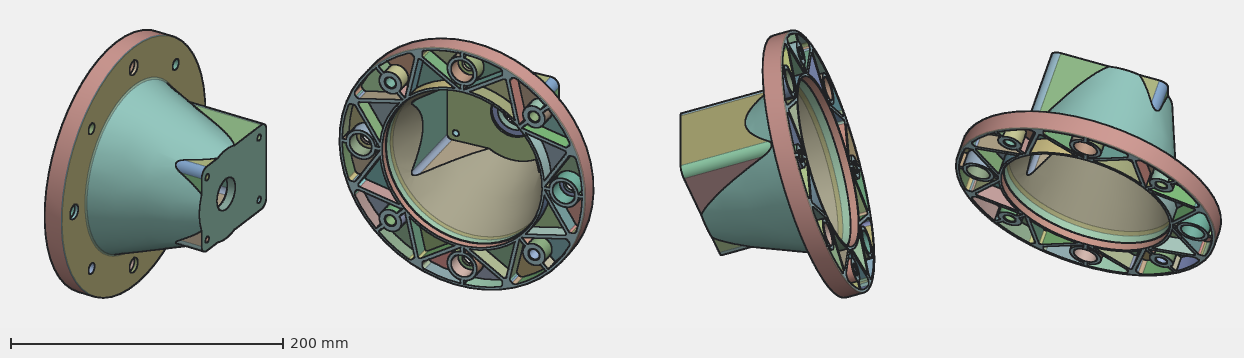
import cadquery as cq
import math

TOTAL_LENGTH = 95.0
FLANGE_DIAMETER = 200.0
FLANGE_THICKNESS = 15.0
FLANGE_EDGE_RADIUS = 0.5

SELECTION_MARGIN = 0.1

CONE_BASE_DIAMETER = 134.0
CONE_END_DIAMETER = 74.2
CONE_ROOT_RADIUS = 1.5
FLOOR_THICKNESS = 9.0
FLOOR_X = TOTAL_LENGTH - FLOOR_THICKNESS

ENTRY_DIAMETER = 130.0
ENTRY_DEPTH = 6.0
SEAT_DIAMETER = 129.0
SEAT_END_X = 14.0
SEAT_BLEND_RADIUS = 10.0
CAVITY_END_DIAMETER = 74.8

BOX_Y_MIN = -33.8
BOX_Y_MAX = 56.0
BOX_HEIGHT = 70.5
BOX_CORNER_RADIUS = 7.0
BOX_CAVITY_Y_MIN = -32.0
BOX_CAVITY_Y_MAX = 53.0
BOX_CAVITY_HEIGHT = 64.5
BOX_CAVITY_CORNER_RADIUS = 4.0

SHAFT_HOLE_DIAMETER = 25.4
SHAFT_RECESS_DIAMETER = 35.0
SHAFT_RECESS_DEPTH = 2.0
SCREW_HOLE_DIAMETER = 5.0
SCREW_SPACING_Y = 72.0
SCREW_SPACING_Z = 52.0
SCREW_CENTER_Y = 9.9

BOLT_CIRCLE_RADIUS = 82.5
LARGE_BOLT_DIAMETER = 11.5
LARGE_BOLT_COUNTERBORE_DIAMETER = 18.0
LARGE_BOLT_COUNTERBORE_DEPTH = 12.0
LARGE_BOSS_DIAMETER = 24.0
LARGE_BOLT_ANGLES = (0, 90, 180, 270)
SMALL_BOLT_DIAMETER = 8.5
SMALL_BOLT_CHAMFER = 0.5
SMALL_BOSS_DIAMETER = 18.0
SMALL_BOLT_ANGLES = (45, 135, 225, 315)

POCKET_DEPTH = 12.0
POCKET_INNER_RADIUS = CONE_BASE_DIAMETER / 2
POCKET_OUTER_RADIUS = 97.5
RIB_THICKNESS = 3.0
BOLT_BAY_RIB_CORNER_RADIUS = 2.0
BOLT_BAY_RIM_CORNER_RADIUS = 2.9
BOLT_BAY_WIDTH = 65.2
PLAIN_BAY_CORNER_RADIUS = 1.5

RIB_INNER_NODE_RADIUS = SEAT_DIAMETER / 2
RIB_OUTER_NODE_RADIUS = 95.0
BAY_HALF_ANGLE = 180 / (len(LARGE_BOLT_ANGLES) + len(SMALL_BOLT_ANGLES))
RIB_ANGLE_AT_BOLT = math.atan2(
    RIB_OUTER_NODE_RADIUS * math.sin(math.radians(BAY_HALF_ANGLE)),
    RIB_OUTER_NODE_RADIUS * math.cos(math.radians(BAY_HALF_ANGLE)) - RIB_INNER_NODE_RADIUS,
)
RIB_ANGLE_AT_RIM = RIB_ANGLE_AT_BOLT - math.radians(BAY_HALF_ANGLE)


def cylinder(diameter, x_start, x_end, y=0.0, z=0.0):
    """Round bar along X."""
    axis_start = cq.Vector(x_start, y, z)
    return cq.Workplane(cq.Solid.makeCylinder(diameter / 2, x_end - x_start, axis_start, cq.Vector(1, 0, 0)))


def cone(start_diameter, end_diameter, x_start, x_end):
    """Truncated cone along X."""
    axis_start = cq.Vector(x_start, 0, 0)
    direction = cq.Vector(1, 0, 0)
    return cq.Workplane(
        cq.Solid.makeCone(start_diameter / 2, end_diameter / 2, x_end - x_start, axis_start, direction)
    )


def polar(radius, angle):
    """Y and Z of a point given by its radius and its angle in degrees."""
    return radius * math.cos(math.radians(angle)), radius * math.sin(math.radians(angle))


def box_prism(y_min, y_max, height, corner_radius, x_end):
    """Rounded rectangular prism from the flange face to x_end, centred on Z = 0."""
    return (
        cq.Workplane("YZ")
        .center((y_min + y_max) / 2, 0)
        .rect(y_max - y_min, height)
        .extrude(x_end)
        .edges("|X")
        .fillet(corner_radius)
    )


def round_edges(x, diameter):
    """Selector for the circular edges in the plane at x that fit within a diameter."""
    reach = diameter / 2 + SELECTION_MARGIN
    return cq.selectors.BoxSelector(
        (x - SELECTION_MARGIN, -reach, -reach), (x + SELECTION_MARGIN, reach, reach), boundingbox=True
    )


def make_outer_body():
    """Flange, cone and mounting box before any hollowing."""
    flange = cylinder(FLANGE_DIAMETER, 0, FLANGE_THICKNESS).edges("%CIRCLE").fillet(FLANGE_EDGE_RADIUS)
    housing = cone(CONE_BASE_DIAMETER, CONE_END_DIAMETER, FLANGE_THICKNESS, TOTAL_LENGTH)
    root = round_edges(FLANGE_THICKNESS, CONE_BASE_DIAMETER)
    body = flange.union(housing)
    body = body.edges(root).fillet(CONE_ROOT_RADIUS)
    return body.union(box_prism(BOX_Y_MIN, BOX_Y_MAX, BOX_HEIGHT, BOX_CORNER_RADIUS, TOTAL_LENGTH))


def make_cavity():
    """Space inside: stepped bore, blended taper and box-shaped room down to the floor."""
    entry = cylinder(ENTRY_DIAMETER, 0, ENTRY_DEPTH)
    seat = cylinder(SEAT_DIAMETER, 0, SEAT_END_X)
    taper = cone(SEAT_DIAMETER, CAVITY_END_DIAMETER, SEAT_END_X, FLOOR_X)
    box = box_prism(
        BOX_CAVITY_Y_MIN, BOX_CAVITY_Y_MAX, BOX_CAVITY_HEIGHT, BOX_CAVITY_CORNER_RADIUS, FLOOR_X
    )
    funnel = seat.union(taper)
    funnel = funnel.edges(round_edges(SEAT_END_X, SEAT_DIAMETER)).fillet(SEAT_BLEND_RADIUS)
    return entry.union(funnel).union(box)


def make_floor_holes():
    """Shaft hole with its recess and the four screw holes."""
    holes = cylinder(SHAFT_HOLE_DIAMETER, FLOOR_X, TOTAL_LENGTH)
    holes = holes.union(cylinder(SHAFT_RECESS_DIAMETER, FLOOR_X, FLOOR_X + SHAFT_RECESS_DEPTH))
    for side_y in (-1, 1):
        for side_z in (-1, 1):
            y = SCREW_CENTER_Y + side_y * SCREW_SPACING_Y / 2
            z = side_z * SCREW_SPACING_Z / 2
            holes = holes.union(cylinder(SCREW_HOLE_DIAMETER, FLOOR_X, TOTAL_LENGTH, y, z))
    return holes


def pocket_ring():
    """Ring-shaped space between the outer rim and the wall around the bore."""
    outside = cylinder(2 * POCKET_OUTER_RADIUS, 0, POCKET_DEPTH)
    return outside.cut(cylinder(2 * POCKET_INNER_RADIUS, 0, POCKET_DEPTH))


def wedge(tip_radius, reach, half_width):
    """Triangular prism with its tip on the Y axis; a negative reach opens it toward the centre."""
    base = tip_radius + reach
    outline = [(tip_radius, 0), (base, half_width), (base, -half_width)]
    return cq.Workplane("YZ").polyline(outline).close().extrude(POCKET_DEPTH)


def make_bolt_bay(boss_diameter):
    """Pocket around a bolt boss on the +Y axis, split by a radial rib."""
    tip_radius = RIB_INNER_NODE_RADIUS + RIB_THICKNESS / 2 / math.sin(RIB_ANGLE_AT_BOLT)
    reach = FLANGE_DIAMETER
    bay = pocket_ring().intersect(wedge(tip_radius, reach, reach * math.tan(RIB_ANGLE_AT_BOLT)))
    side_trim = cq.Workplane("XY").box(FLANGE_DIAMETER, FLANGE_DIAMETER, BOLT_BAY_WIDTH)
    bay = bay.intersect(side_trim)
    bay = bay.edges("|X").edges(">Z or <Z").edges("<Y").fillet(BOLT_BAY_RIB_CORNER_RADIUS)
    bay = bay.edges("|X").edges(">Z or <Z").edges(">Y").fillet(BOLT_BAY_RIM_CORNER_RADIUS)
    radial_rib = cq.Workplane("XY").box(
        POCKET_DEPTH, FLANGE_DIAMETER, RIB_THICKNESS, centered=(False, False, True)
    )
    return bay.cut(radial_rib).cut(cylinder(boss_diameter, 0, POCKET_DEPTH, BOLT_CIRCLE_RADIUS))


def make_plain_bay():
    """Triangular pocket between two neighbouring bolt bays, centred on the +Y axis."""
    tip_radius = RIB_OUTER_NODE_RADIUS - RIB_THICKNESS / 2 / math.sin(RIB_ANGLE_AT_RIM)
    reach = tip_radius
    bay = pocket_ring().intersect(wedge(tip_radius, -reach, reach * math.tan(RIB_ANGLE_AT_RIM)))
    return bay.edges("|X").edges(">Y").fillet(PLAIN_BAY_CORNER_RADIUS)


def make_pockets():
    """All flange pockets, gathered as separate solids."""
    large_bay = make_bolt_bay(LARGE_BOSS_DIAMETER)
    small_bay = make_bolt_bay(SMALL_BOSS_DIAMETER)
    plain_bay = make_plain_bay()
    axis = ((0, 0, 0), (1, 0, 0))
    pockets = cq.Workplane()
    for bolt_bay, angles in ((large_bay, LARGE_BOLT_ANGLES), (small_bay, SMALL_BOLT_ANGLES)):
        for angle in angles:
            pockets = pockets.add(bolt_bay.rotate(*axis, angle))
            pockets = pockets.add(plain_bay.rotate(*axis, angle + BAY_HALF_ANGLE))
    return pockets.combine()


def make_bolt_holes():
    """Counterbored large bolt holes and chamfered small ones on one bolt circle."""
    holes = cq.Workplane()
    for angle in LARGE_BOLT_ANGLES:
        y, z = polar(BOLT_CIRCLE_RADIUS, angle)
        holes = holes.add(cylinder(LARGE_BOLT_DIAMETER, 0, FLANGE_THICKNESS, y, z))
        holes = holes.add(cylinder(LARGE_BOLT_COUNTERBORE_DIAMETER, 0, LARGE_BOLT_COUNTERBORE_DEPTH, y, z))
    for angle in SMALL_BOLT_ANGLES:
        y, z = polar(BOLT_CIRCLE_RADIUS, angle)
        holes = holes.add(cylinder(SMALL_BOLT_DIAMETER, 0, FLANGE_THICKNESS, y, z))
        mouth_diameter = SMALL_BOLT_DIAMETER + 2 * SMALL_BOLT_CHAMFER
        chamfer = cone(mouth_diameter, SMALL_BOLT_DIAMETER, 0, SMALL_BOLT_CHAMFER)
        holes = holes.add(chamfer.translate((0, y, z)))
    return holes.combine()


result = make_outer_body().cut(make_cavity()).cut(make_floor_holes())
result = result.cut(make_pockets()).cut(make_bolt_holes())